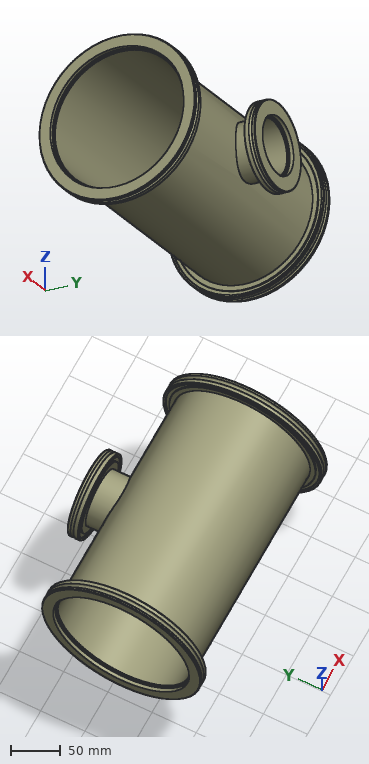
import cadquery as cq

overall_length = 276.0
main_tube_radius = 77.0
main_bore_radius = 75.0

branch_reach = 108.0
branch_tube_radius = 31.7
branch_bore_radius = 29.8

flange_thickness = 12.5
rim_chamfer = 0.7
rim_groove_depth = 5.2
recess_depth = 4.5
ledge_width = 2.2
tube_setback = recess_depth + ledge_width
back_groove_depth = 1.7

main_flange_radius = 90.0
main_rim_groove_radius = 2.2
main_back_groove_inner = 82.8
main_back_groove_outer = 87.2

branch_flange_radius = 47.7
branch_rim_groove_radius = 1.7
branch_back_groove_inner = 39.7
branch_back_groove_outer = 45.0


def make_flange(outer_radius, tube_radius, bore_radius, rim_groove_radius, groove_inner, groove_outer):
    """Flange turned about Z, with its mating face at Z = 0 and its back toward -Z."""
    flange = cq.Workplane("XY").circle(outer_radius).extrude(-flange_thickness)
    flange = flange.edges().chamfer(rim_chamfer)

    rim_groove = (
        cq.Workplane("XZ")
        .center(outer_radius, -rim_groove_depth)
        .circle(rim_groove_radius)
        .revolve(360, (-outer_radius, 0), (-outer_radius, 1))
    )

    back_groove = (
        cq.Workplane("XY", origin=(0, 0, -flange_thickness))
        .circle(groove_outer)
        .circle(groove_inner)
        .extrude(back_groove_depth)
    )

    counterbore = cq.Workplane("XY").circle(tube_radius).extrude(-recess_depth)
    ledge_radius = (tube_radius + bore_radius) / 2
    bore = cq.Workplane("XY").circle(ledge_radius).extrude(-flange_thickness)
    socket = (
        cq.Workplane("XY", origin=(0, 0, -tube_setback))
        .circle(tube_radius)
        .extrude(tube_setback - flange_thickness)
    )
    return flange.cut(rim_groove).cut(back_groove).cut(counterbore).cut(bore).cut(socket)


def make_tee_tube():
    """Main tube with the branch tube joined to its side, open to each other inside."""
    main_length = overall_length - 2 * tube_setback
    branch_length = branch_reach - tube_setback
    main_plane = cq.Workplane("YZ", origin=(-main_length / 2, 0, 0))
    branch_plane = cq.Workplane("XZ")
    outside = main_plane.circle(main_tube_radius).extrude(main_length)
    outside = outside.union(branch_plane.circle(branch_tube_radius).extrude(-branch_length))
    main_bore = main_plane.circle(main_bore_radius).extrude(main_length)
    branch_bore = branch_plane.circle(branch_bore_radius).extrude(-branch_length)
    return outside.cut(main_bore).cut(branch_bore)


tee_tube = make_tee_tube()

main_flanges = []
for side in (-1, 1):
    flange = make_flange(
        main_flange_radius, main_tube_radius, main_bore_radius,
        main_rim_groove_radius, main_back_groove_inner, main_back_groove_outer,
    )
    flange = flange.rotate((0, 0, 0), (0, 1, 0), side * 90)
    main_flanges.append(flange.translate((side * overall_length / 2, 0, 0)))

branch_flange = make_flange(
    branch_flange_radius, branch_tube_radius, branch_bore_radius,
    branch_rim_groove_radius, branch_back_groove_inner, branch_back_groove_outer,
)
branch_flange = branch_flange.rotate((0, 0, 0), (1, 0, 0), -90).translate((0, branch_reach, 0))

result = cq.Compound.makeCompound([
    tee_tube.val(),
    *[flange.val() for flange in main_flanges],
    branch_flange.val(),
])